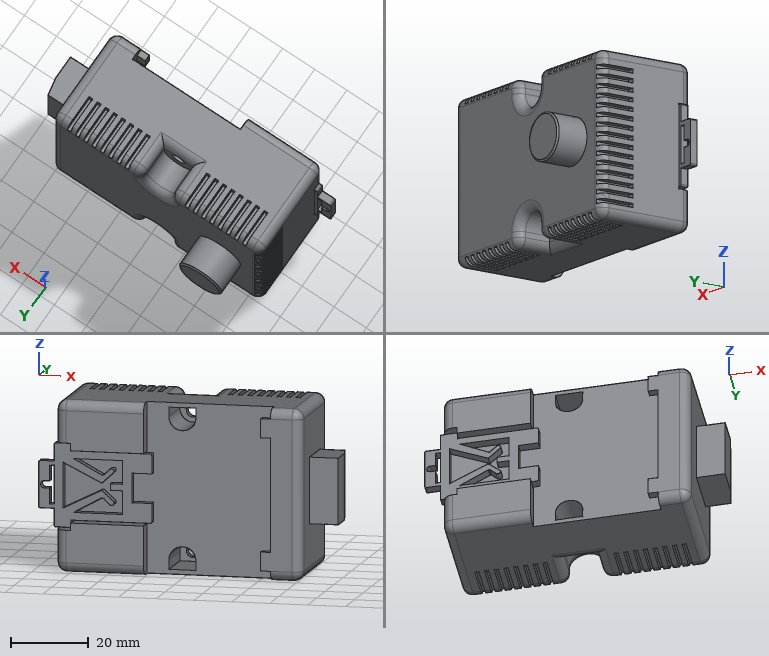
import cadquery as cq


LENGTH = 64.9
HEIGHT = 28.6
WIDTH = 45.0
EDGE_RADIUS = 2.55
HALF_LENGTH = LENGTH / 2
HALF_WIDTH = WIDTH / 2

RAIL_LEFT = -9.4
RAIL_RIGHT = 24.2
RAIL_DEPTH = 3.95
TOOTH_REACH = 2.55
TOOTH_THICKNESS = 1.9
TOOTH_INNER_Z = 15.0
TOOTH_OUTER_Z = HALF_WIDTH - EDGE_RADIUS

SCREW_Z = 18.4
SCREW_HOLE_DIAMETER = 3.7
NOTCH_RADIUS = 4.5
NOTCH_FLOOR_Y = 18.5
SCREW_FLOOR_THICKNESS = 2.0
POCKET_RADIUS = 3.6
POCKET_ARC_Z = 18.8
POCKET_OUTER_Z = 21.25

VENT_PITCH = 2.55
VENT_WIDTH = 1.1
VENT_DEPTH = 2.0
VENT_BOTTOM_Y = 18.5
SIDE_VENT_COUNT = 8
SIDE_VENT_CENTRE = 18.3
END_VENT_COUNT = 15
END_VENT_CENTRE = -0.2

KNOB_X = -19.7
KNOB_DIAMETER = 13.0
KNOB_TOP = 37.85
KNOB_CHAMFER = 0.5
PLUG_END_X = 40.0
PLUG_BOTTOM_Y = 9.1
PLUG_TOP_Y = 20.8
PLUG_WIDTH = 17.45
PLUG_SLOPE_START_Y = 15.9
PLUG_SLOPE_RUN = 0.9

CLIP_THICKNESS = 2.2
CLIP_END_X = -7.6
CLIP_HALF_WIDTH = 9.1
HEAD_LEFT = -33.4
HEAD_RIGHT = -28.9
HEAD_HALF_WIDTH = 11.0
TAB_LEFT = -37.55
TAB_HALF_WIDTH = 6.2
CLIP_CORNER_RADIUS = 0.5
FORK_FLOOR_X = -12.9
FORK_HALF_WIDTH = 3.9
TAB_SLOT_LEFT = -34.7
TAB_SLOT_HALF_WIDTH = 5.05
TAB_NICK_END = -37.0
TAB_NICK_WIDTH = 1.9
CLIP_Z = 0.1

CHANNEL_HALF_WIDTH = 9.5
CHANNEL_HEAD_HALF_WIDTH = 11.4
CHANNEL_HEAD_RIGHT = -28.7


def block(x0, x1, y0, y1, z0, z1):
    """Box between two opposite corners."""
    return cq.Workplane("XY").box(x1 - x0, y1 - y0, z1 - z0, centered=False).translate((x0, y0, z0))


def plate(y0):
    """Workplane at height y0 whose local axes are X and Z and whose normal is -Y."""
    return cq.Workplane("XZ", origin=(0, y0, 0))


def screw_notch():
    """U-shaped notch in the +Z side, open to the top."""
    height = HEIGHT - NOTCH_FLOOR_Y
    round_end = plate(HEIGHT).center(0, SCREW_Z).circle(NOTCH_RADIUS).extrude(height)
    mouth = block(-NOTCH_RADIUS, NOTCH_RADIUS, NOTCH_FLOOR_Y, HEIGHT, SCREW_Z, HALF_WIDTH)
    return round_end.union(mouth)


def rounded_shell():
    """Housing block with both screw notches and all outer edges rounded."""
    shell = block(-HALF_LENGTH, HALF_LENGTH, 0, HEIGHT, -HALF_WIDTH, HALF_WIDTH)
    notch = screw_notch()
    shell = shell.cut(notch).cut(notch.mirror("XY"))
    side_edges = shell.faces("<Z or >Z").edges("not(<Y or >Y)")
    shell = shell.newObject(side_edges.vals()).fillet(EDGE_RADIUS)
    return shell.faces("<Y or >Y").edges().fillet(EDGE_RADIUS)


def rail_recess():
    """Recess for the mounting rail, with the two catch teeth left standing at its right end."""
    recess = block(RAIL_LEFT, RAIL_RIGHT, 0, RAIL_DEPTH, -HALF_WIDTH, HALF_WIDTH)
    tooth_left = RAIL_RIGHT - TOOTH_REACH
    tooth = block(tooth_left, RAIL_RIGHT, 0, TOOTH_THICKNESS, TOOTH_INNER_Z, TOOTH_OUTER_Z)
    return recess.cut(tooth).cut(tooth.mirror("XY"))


def clip_channel():
    """T-shaped channel that leads the clip from the left end to the rail recess."""
    arms = block(-HALF_LENGTH, RAIL_LEFT, 0, RAIL_DEPTH, -CHANNEL_HALF_WIDTH, CHANNEL_HALF_WIDTH)
    head = block(
        -HALF_LENGTH, CHANNEL_HEAD_RIGHT, 0, RAIL_DEPTH, -CHANNEL_HEAD_HALF_WIDTH, CHANNEL_HEAD_HALF_WIDTH
    )
    return arms.union(head)


def screw_opening():
    """Screw hole on the +Z side with the D-shaped pocket that leads to it from the rail side."""
    pocket_floor_y = NOTCH_FLOOR_Y - SCREW_FLOOR_THICKNESS
    hole = plate(HEIGHT).center(0, SCREW_Z).circle(SCREW_HOLE_DIAMETER / 2).extrude(HEIGHT)
    pocket = (
        plate(pocket_floor_y)
        .moveTo(-POCKET_RADIUS, POCKET_OUTER_Z)
        .lineTo(-POCKET_RADIUS, POCKET_ARC_Z)
        .threePointArc((0, POCKET_ARC_Z - POCKET_RADIUS), (POCKET_RADIUS, POCKET_ARC_Z))
        .lineTo(POCKET_RADIUS, POCKET_OUTER_Z)
        .close()
        .extrude(pocket_floor_y)
    )
    return hole.union(pocket)


def side_vents():
    """Two rows of slots across the +Z side, one row on each side of the screw notch."""
    vents = cq.Workplane("XY")
    for row_centre in (-SIDE_VENT_CENTRE, SIDE_VENT_CENTRE):
        for index in range(SIDE_VENT_COUNT):
            x = row_centre + (index - (SIDE_VENT_COUNT - 1) / 2) * VENT_PITCH
            left = x - VENT_WIDTH / 2
            vents = vents.add(
                block(left, left + VENT_WIDTH, VENT_BOTTOM_Y, HEIGHT, HALF_WIDTH - VENT_DEPTH, HALF_WIDTH)
            )
    return vents.combine()


def end_vents():
    """One row of slots across the -X end."""
    vents = cq.Workplane("XY")
    for index in range(END_VENT_COUNT):
        z = END_VENT_CENTRE + (index - (END_VENT_COUNT - 1) / 2) * VENT_PITCH
        bottom = z - VENT_WIDTH / 2
        vents = vents.add(
            block(
                -HALF_LENGTH, VENT_DEPTH - HALF_LENGTH, VENT_BOTTOM_Y, HEIGHT, bottom, bottom + VENT_WIDTH
            )
        )
    return vents.combine()


def knob():
    """Round knob on top of the housing."""
    height = KNOB_TOP - HEIGHT
    post = plate(KNOB_TOP).center(KNOB_X, 0).circle(KNOB_DIAMETER / 2).extrude(height)
    return post.faces(">Y").edges().chamfer(KNOB_CHAMFER)


def plug():
    """Plug on the +X end, with a sloped upper end face."""
    return (
        cq.Workplane("XY", origin=(0, 0, -PLUG_WIDTH / 2))
        .moveTo(HALF_LENGTH, PLUG_BOTTOM_Y)
        .lineTo(PLUG_END_X, PLUG_BOTTOM_Y)
        .lineTo(PLUG_END_X, PLUG_SLOPE_START_Y)
        .lineTo(PLUG_END_X - PLUG_SLOPE_RUN, PLUG_TOP_Y)
        .lineTo(HALF_LENGTH, PLUG_TOP_Y)
        .close()
        .extrude(PLUG_WIDTH)
    )


def build_housing():
    """Housing with its knob and plug, as one solid."""
    housing = rounded_shell().cut(rail_recess()).cut(clip_channel()).cut(end_vents())
    for side_feature in (screw_opening(), side_vents()):
        housing = housing.cut(side_feature).cut(side_feature.mirror("XY"))
    return housing.union(knob()).union(plug())


def clip_block(x0, x1, half_width):
    """Full-thickness piece of the clip, centred across its width."""
    return block(x0, x1, RAIL_DEPTH - CLIP_THICKNESS, RAIL_DEPTH, -half_width, half_width)


def spring_window():
    """Opening in the clip that leaves two hooked spring arms and a central stop."""
    outer_corner = (-28.2, 7.05)
    right_corner = (-15.35, 7.05)
    stop_root = (-15.35, 0.85)
    stop_tip = (-18.5, 0.85)
    arm_outer_bend_left = (-20.8, 3.0)
    arm_outer_bend_right = (-20.4, 3.0)
    hook_outer_end = (-18.8, 4.6)
    hook_tip = (-17.9, 4.7)
    hook_inner_end = (-17.5, 3.95)
    arm_inner_bend = (-20.8, 0.9)
    arm_inner_root = (-31.0, 6.0)

    def mirrored(point):
        return (point[0], -point[1])

    outline = (
        plate(RAIL_DEPTH)
        .polyline([arm_inner_root, arm_inner_bend, hook_inner_end])
        .threePointArc(hook_tip, hook_outer_end)
        .lineTo(*arm_outer_bend_right)
        .lineTo(*arm_outer_bend_left)
        .lineTo(*outer_corner)
        .lineTo(*right_corner)
        .lineTo(*stop_root)
        .lineTo(*stop_tip)
        .lineTo(*mirrored(stop_tip))
        .lineTo(*mirrored(stop_root))
        .lineTo(*mirrored(right_corner))
        .lineTo(*mirrored(outer_corner))
        .lineTo(*mirrored(arm_outer_bend_left))
        .lineTo(*mirrored(arm_outer_bend_right))
        .lineTo(*mirrored(hook_outer_end))
        .threePointArc(mirrored(hook_tip), mirrored(hook_inner_end))
        .lineTo(*mirrored(arm_inner_bend))
        .lineTo(*mirrored(arm_inner_root))
        .close()
    )
    return outline.extrude(CLIP_THICKNESS)


def tab_slot():
    """Slot across the pull tab, with a round-ended nick toward the free end."""
    slot = clip_block(TAB_SLOT_LEFT, HEAD_LEFT, TAB_SLOT_HALF_WIDTH)
    nick_radius = TAB_NICK_WIDTH / 2
    nick_centre_x = TAB_NICK_END + nick_radius
    nick = clip_block(nick_centre_x, HEAD_LEFT, nick_radius)
    nick_end = plate(RAIL_DEPTH).center(nick_centre_x, 0).circle(nick_radius).extrude(CLIP_THICKNESS)
    return slot.union(nick).union(nick_end)


def build_clip():
    """T-shaped clip with a pull tab at its head and a fork at its rail end."""
    tab = clip_block(TAB_LEFT, HEAD_LEFT, TAB_HALF_WIDTH).edges("|Y and <X").fillet(CLIP_CORNER_RADIUS)
    head = clip_block(HEAD_LEFT, HEAD_RIGHT, HEAD_HALF_WIDTH).edges("|Y and <X").fillet(CLIP_CORNER_RADIUS)
    body = clip_block(HEAD_LEFT, CLIP_END_X, CLIP_HALF_WIDTH).edges("|Y and >X").fillet(CLIP_CORNER_RADIUS)
    fork_gap = clip_block(FORK_FLOOR_X, CLIP_END_X, FORK_HALF_WIDTH)
    clip = head.union(body).union(tab).cut(fork_gap).cut(spring_window()).cut(tab_slot())
    return clip.translate((0, 0, CLIP_Z))


housing = build_housing()
clip = build_clip()
result = cq.Compound.makeCompound([housing.solids().val(), clip.solids().val()])